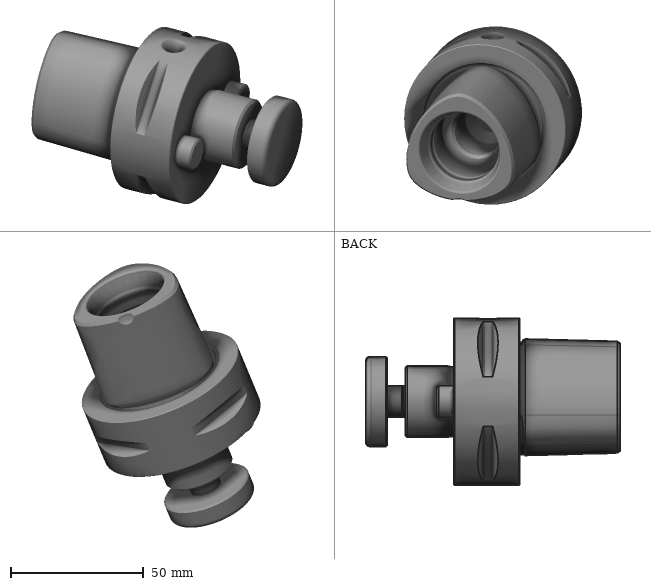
import cadquery as cq
import math

TOTAL_LENGTH = 96.0

FLANGE_START = 37.9
FLANGE_END = 62.8
FLANGE_RADIUS = 31.5
FLANGE_CHAMFER = 0.3

SHANK_END = 35.8
SHANK_RADIUS = 22.0
SHANK_SLOPE = 1 / 40
LOBE_HEIGHT = 1.6
SHANK_CHAMFER_LENGTH = 1.2
SHANK_CHAMFER_HEIGHT = 0.9
NECK_INSET = 0.4
LOBE_COUNT = 3
CURVE_STEPS = 6

RELIEF_RING_RADIUS = 23.2
RELIEF_RADIUS = 1.0
RELIEF_X = 37.6

MARK_RADIUS = 5.2
MARK_DISTANCE = 23.2

MOUTH_RADIUS = 16.4
MOUTH_FILLET = 1.0
LIP_START = 6.3
LIP_RADIUS = 14.0
CLAMP_RADIUS = 13.4
LIP_CHAMFER_LENGTH = 1.0
LIP_END = 8.5
LIP_EDGE = 0.3
CLAMP_GROOVE_RADIUS = 15.1
CLAMP_GROOVE_END = 11.6
CLAMP_GROOVE_FILLET = 1.3
CLAMP_GROOVE_TURN = 45.0
CLAMP_BORE_START = 13.1
CLAMP_BORE_END = 25.9
THREAD_OUTER_RADIUS = 10.0
THREAD_CORE_RADIUS = 8.9
THREAD_CORE_END = 43.2
DRILL_POINT_ANGLE = 118.0

SLOT_X = 49.9
SLOT_FLOOR_DISTANCE = 27.8
SLOT_FLOOR_WIDTH = 3.5
SLOT_FLANK_ANGLE = 30.0
SLOT_FILLET = 0.5
SLOT_COUNT = 4
DIMPLE_RADIUS = 4.9
DIMPLE_ANGLE = 90.0

PILOT_RADIUS = 27.0 / 2
PILOT_END = 81.1
PILOT_CHAMFER = 0.9
UNDERCUT_RADIUS = 26.4 / 2
UNDERCUT_END = 64.2
UNDERCUT_RAMP_END = 65.4

SCREW_RADIUS = 12.0 / 2
SCREW_TIP_RADIUS = 10.1 / 2
SCREW_TIP_LENGTH = 5.8
RING_GROOVE_START = 81.8
RING_GROOVE_END = 82.4
RING_GROOVE_DEPTH = 0.14
HEAD_START = 87.9
HEAD_RADIUS = 17.0
HEAD_CHAMFER = 0.6
HEAD_FILLET = 1.9

PIN_SIDES = (-1, 1)
PIN_RADIUS = 12.0 / 2
PIN_OFFSET = 20.5
PIN_END = 69.2
PIN_DEPTH = 9.6
PIN_CHAMFER = 0.7

DRILL_POINT_LENGTH = (THREAD_CORE_RADIUS - SCREW_TIP_RADIUS) / math.tan(math.radians(DRILL_POINT_ANGLE / 2))
SCREW_START = THREAD_CORE_END + DRILL_POINT_LENGTH
SCREW_TIP_END = SCREW_START + SCREW_TIP_LENGTH
PIN_START = FLANGE_END - PIN_DEPTH


def revolve_about_x(profile):
    """Revolve a closed XY profile, drawn on the +Y side, about the X axis."""
    return profile.close().revolve(360, (0, 0, 0), (1, 0, 0))


def cylinder_along_x(start, end, radius, y=0.0):
    """Cylinder parallel to the X axis."""
    return cq.Workplane("YZ", origin=(start, y, 0)).circle(radius).extrude(end - start)


def lobe_point(mean_radius, angle):
    """Point (y, z) of the three-lobed outline, whose first lobe points to +Z; angle is its normal."""
    support = mean_radius + LOBE_HEIGHT * math.cos(LOBE_COUNT * angle)
    slope = -LOBE_COUNT * LOBE_HEIGHT * math.sin(LOBE_COUNT * angle)
    return (
        support * math.sin(angle) + slope * math.cos(angle),
        support * math.cos(angle) - slope * math.sin(angle),
    )


def lobe_wire(x, mean_radius):
    """Closed three-lobed wire at a given X, one curve for each lobe and for each flat side."""
    curve_angle = math.pi / LOBE_COUNT
    edges = []
    for index in range(2 * LOBE_COUNT):
        first_angle = (index - 0.5) * curve_angle
        angles = [first_angle + step * curve_angle / CURVE_STEPS for step in range(CURVE_STEPS + 1)]
        points = [cq.Vector(x, *lobe_point(mean_radius, angle)) for angle in angles]
        tangents = [cq.Vector(0, math.cos(angle), -math.sin(angle)) for angle in (angles[0], angles[-1])]
        edges.append(cq.Edge.makeSpline(points, tangents=tangents))
    return cq.Wire.assembleEdges(edges)


def lobed_solid(sections):
    """Straight-sided solid through three-lobed sections, each given as (x, mean radius)."""
    return cq.Workplane(cq.Solid.makeLoft([lobe_wire(x, radius) for x, radius in sections], True))


def make_shank():
    tip_radius = SHANK_RADIUS - SHANK_SLOPE * (SHANK_END - SHANK_CHAMFER_LENGTH)
    neck_radius = SHANK_RADIUS - NECK_INSET
    taper = lobed_solid(
        [
            (0, tip_radius - SHANK_CHAMFER_HEIGHT),
            (SHANK_CHAMFER_LENGTH, tip_radius),
            (SHANK_END, SHANK_RADIUS),
        ]
    )
    neck = lobed_solid([(SHANK_END, neck_radius), (FLANGE_START, neck_radius)])
    return taper.union(neck)


def make_flange_and_pilot():
    profile = (
        cq.Workplane("XY")
        .moveTo(FLANGE_START, 0)
        .lineTo(FLANGE_START, FLANGE_RADIUS - FLANGE_CHAMFER)
        .lineTo(FLANGE_START + FLANGE_CHAMFER, FLANGE_RADIUS)
        .lineTo(FLANGE_END - FLANGE_CHAMFER, FLANGE_RADIUS)
        .lineTo(FLANGE_END, FLANGE_RADIUS - FLANGE_CHAMFER)
        .lineTo(FLANGE_END, UNDERCUT_RADIUS)
        .lineTo(UNDERCUT_END, UNDERCUT_RADIUS)
        .lineTo(UNDERCUT_RAMP_END, PILOT_RADIUS)
        .lineTo(PILOT_END - PILOT_CHAMFER, PILOT_RADIUS)
        .lineTo(PILOT_END, PILOT_RADIUS - PILOT_CHAMFER)
        .lineTo(PILOT_END, 0)
    )
    return revolve_about_x(profile)


def make_relief_ring():
    ring = cq.Solid.makeTorus(
        RELIEF_RING_RADIUS, RELIEF_RADIUS, pnt=cq.Vector(RELIEF_X, 0, 0), dir=cq.Vector(1, 0, 0)
    )
    return cq.Workplane(ring)


def make_end_mark():
    return cq.Workplane("YZ", origin=(0, 0, -MARK_DISTANCE)).sphere(MARK_RADIUS)


def make_shank_bore():
    """Mouth cone, clamping groove, clearance bore and threaded hole ending in a drill point."""
    fillet_diagonal = MOUTH_FILLET * (1 - math.sqrt(0.5))
    mouth_middle = (fillet_diagonal, MOUTH_RADIUS - MOUTH_FILLET + fillet_diagonal)
    thread_chamfer = THREAD_OUTER_RADIUS - THREAD_CORE_RADIUS
    corner_start = CLAMP_GROOVE_END - CLAMP_GROOVE_FILLET
    corner_drop = CLAMP_GROOVE_FILLET * math.tan(math.radians(CLAMP_GROOVE_TURN / 2))
    profile = (
        cq.Workplane("XY")
        .moveTo(0, 0)
        .lineTo(0, MOUTH_RADIUS)
        .threePointArc(mouth_middle, (MOUTH_FILLET, MOUTH_RADIUS - MOUTH_FILLET))
        .lineTo(LIP_START, LIP_RADIUS)
        .lineTo(LIP_START + LIP_CHAMFER_LENGTH, CLAMP_RADIUS)
        .lineTo(LIP_END - LIP_EDGE, CLAMP_RADIUS)
        .lineTo(LIP_END, CLAMP_RADIUS + LIP_EDGE)
        .lineTo(LIP_END, CLAMP_GROOVE_RADIUS)
        .lineTo(corner_start, CLAMP_GROOVE_RADIUS)
        .tangentArcPoint((CLAMP_GROOVE_END, CLAMP_GROOVE_RADIUS - corner_drop), relative=False)
        .lineTo(CLAMP_BORE_START, CLAMP_RADIUS)
        .lineTo(CLAMP_BORE_END, CLAMP_RADIUS)
        .lineTo(CLAMP_BORE_END, THREAD_OUTER_RADIUS)
        .lineTo(CLAMP_BORE_END + thread_chamfer, THREAD_CORE_RADIUS)
        .lineTo(THREAD_CORE_END, THREAD_CORE_RADIUS)
        .lineTo(SCREW_START, SCREW_TIP_RADIUS)
        .lineTo(SCREW_START, 0)
    )
    return revolve_about_x(profile)


def make_screw_hole():
    tip = cylinder_along_x(SCREW_START, SCREW_TIP_END, SCREW_TIP_RADIUS)
    return tip.union(cylinder_along_x(SCREW_TIP_END, PILOT_END, SCREW_RADIUS))


def make_gripper_slot():
    """Cutter for the slot at the top of the flange: flared flanks and a flat floor running along Y."""
    height = FLANGE_RADIUS - SLOT_FLOOR_DISTANCE
    half_floor = SLOT_FLOOR_WIDTH / 2
    half_top = half_floor + height * math.tan(math.radians(SLOT_FLANK_ANGLE))
    section = cq.Workplane("XZ", origin=(SLOT_X, FLANGE_RADIUS, SLOT_FLOOR_DISTANCE)).polyline(
        [(-half_top, height), (-half_floor, 0), (half_floor, 0), (half_top, height)]
    )
    return section.close().extrude(2 * FLANGE_RADIUS).edges("|Y and <Z").fillet(SLOT_FILLET)


def make_dimple():
    depth = DIMPLE_RADIUS / math.tan(math.radians(DIMPLE_ANGLE / 2))
    cone = cq.Solid.makeCone(
        0, DIMPLE_RADIUS, depth, pnt=cq.Vector(SLOT_X, 0, FLANGE_RADIUS - depth), dir=cq.Vector(0, 0, 1)
    )
    return cq.Workplane(cone)


def make_holder():
    holder = make_flange_and_pilot().union(make_shank())
    holder = holder.cut(make_relief_ring()).cut(make_end_mark())
    holder = holder.cut(make_shank_bore()).cut(make_screw_hole())
    slot = make_gripper_slot()
    slot_step = 360 / SLOT_COUNT
    for index in range(SLOT_COUNT):
        angle = (index + 0.5) * slot_step
        holder = holder.cut(slot.rotate((0, 0, 0), (1, 0, 0), angle))
    holder = holder.cut(make_dimple())
    for side in PIN_SIDES:
        holder = holder.cut(cylinder_along_x(PIN_START, FLANGE_END, PIN_RADIUS, side * PIN_OFFSET))
    return holder


def make_screw():
    groove_middle = (RING_GROOVE_START + RING_GROOVE_END) / 2
    fillet_diagonal = HEAD_FILLET * (1 - math.sqrt(0.5))
    profile = (
        cq.Workplane("XY")
        .moveTo(SCREW_START, 0)
        .lineTo(SCREW_START, SCREW_TIP_RADIUS)
        .lineTo(SCREW_TIP_END, SCREW_TIP_RADIUS)
        .lineTo(SCREW_TIP_END, SCREW_RADIUS)
        .lineTo(RING_GROOVE_START, SCREW_RADIUS)
        .lineTo(groove_middle, SCREW_RADIUS - RING_GROOVE_DEPTH)
        .lineTo(RING_GROOVE_END, SCREW_RADIUS)
        .lineTo(HEAD_START, SCREW_RADIUS)
        .lineTo(HEAD_START, HEAD_RADIUS - HEAD_CHAMFER)
        .lineTo(HEAD_START + HEAD_CHAMFER, HEAD_RADIUS)
        .lineTo(TOTAL_LENGTH - HEAD_FILLET, HEAD_RADIUS)
        .threePointArc(
            (TOTAL_LENGTH - fillet_diagonal, HEAD_RADIUS - fillet_diagonal),
            (TOTAL_LENGTH, HEAD_RADIUS - HEAD_FILLET),
        )
        .lineTo(TOTAL_LENGTH, 0)
    )
    return revolve_about_x(profile)


def make_drive_pin(side):
    pin = cylinder_along_x(PIN_START, PIN_END, PIN_RADIUS, side * PIN_OFFSET)
    return pin.faces(">X").chamfer(PIN_CHAMFER)


holder = make_holder()
screw = make_screw()
drive_pins = [make_drive_pin(side) for side in PIN_SIDES]

result = cq.Compound.makeCompound([holder.val(), screw.val(), *[pin.val() for pin in drive_pins]])